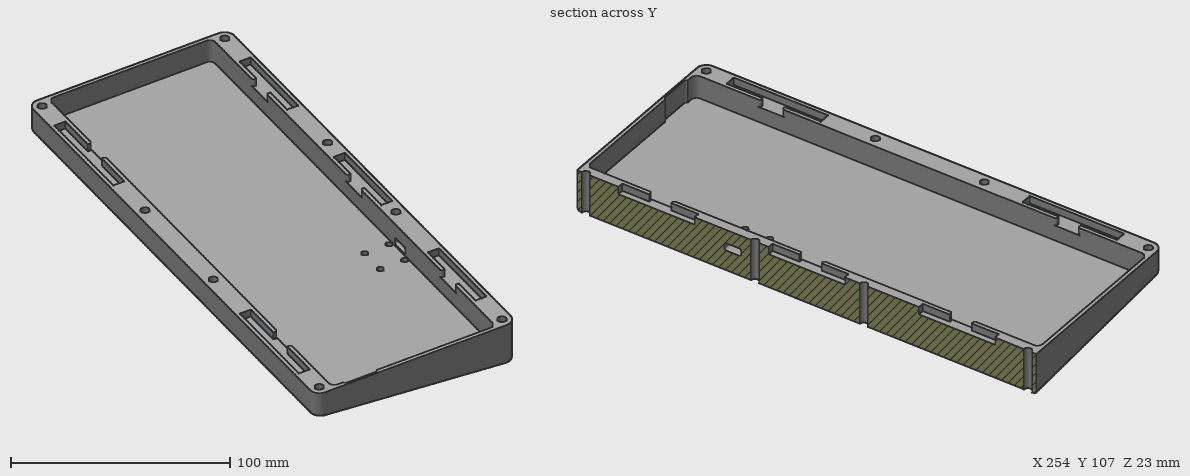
import cadquery as cq
import math

length = 254.0
width = 107.0
back_depth = 23.0
slope = math.radians(5)
corner_radius = 5.0
bottom_fillet = 2.0

side_wall = 2.0
rail_width = 10.0
cavity_depth = 12.5
cavity_radius = corner_radius - side_wall

relief_depth = 1.0
relief_length = 18.3
relief_radius = 1.5
relief_y = -28.7

screw_diameter = 4.3
screw_inset = 4.8
inner_screw_xs = (-31.5, 28.7)

pocket_depth = 4.0
pocket_wall = 2.0
neck_rounding = 1.0
neck_width = 12.2
back_pocket_length = 42.0
back_pocket_xs = (-83.0, 0, 83.0)
front_pocket_length = 52.0
front_pocket_xs = (-80.8, 82.8)

mount_diameter = 3.3
mount_depth = 4.0
drill_angle = math.radians(118)
mount_pitch_x = 13.7
mount_pitch_y = 13.0
mount_center = (41.0, 35.3)
port_width = 9.1
port_height = 3.8
port_radius = 1.0
port_center_z = -9.7

cavity_length = length - 2 * side_wall
cavity_width = width - 2 * rail_width
cavity_edge_x = cavity_length / 2
cavity_edge_y = cavity_width / 2


def rounded_block(block_length, block_width, height, radius):
    """Block hanging below the rim plane with rounded vertical edges."""
    block = cq.Workplane("XY").rect(block_length, block_width).extrude(-height)
    return block.edges("|Z").fillet(radius)


def make_body():
    lift = bottom_fillet * (math.tan(slope) + 1 / math.cos(slope) - 1)
    back_z = -(back_depth + lift)
    front_z = back_z + width * math.tan(slope)
    half = width / 2
    side = [(-half, 0), (half, 0), (half, back_z), (-half, front_z)]
    wedge = cq.Workplane("YZ").polyline(side).close().extrude(length / 2, both=True)
    body = wedge.edges("|Z").fillet(corner_radius)
    return body.faces("<Z").edges().fillet(bottom_fillet)


def make_relief():
    block_length = relief_depth + 2 * relief_radius
    block = rounded_block(block_length, relief_length, cavity_depth, relief_radius)
    return block.translate((cavity_edge_x + relief_depth - block_length / 2, relief_y, 0))


def make_pocket(pocket_length):
    """Pocket for the back rail, centred on x = 0, with its neck flaring into the cavity."""
    slot_end = pocket_length / 2
    neck_side = neck_width / 2
    flare_side = neck_side + neck_rounding
    flare_y = cavity_edge_y + neck_rounding
    inner_y = cavity_edge_y + pocket_wall
    outer_y = width / 2 - pocket_wall
    arc_shift = neck_rounding * (1 - math.sqrt(0.5))
    outline = (
        cq.Workplane("XY")
        .moveTo(-slot_end, outer_y)
        .lineTo(slot_end, outer_y)
        .lineTo(slot_end, inner_y)
        .lineTo(neck_side, inner_y)
        .lineTo(neck_side, flare_y)
        .threePointArc((neck_side + arc_shift, cavity_edge_y + arc_shift), (flare_side, cavity_edge_y))
        .lineTo(-flare_side, cavity_edge_y)
        .threePointArc((-neck_side - arc_shift, cavity_edge_y + arc_shift), (-neck_side, flare_y))
        .lineTo(-neck_side, inner_y)
        .lineTo(-slot_end, inner_y)
        .close()
    )
    return outline.extrude(-pocket_depth)


def make_mount_holes():
    radius = mount_diameter / 2
    tip = radius / math.tan(drill_angle / 2)
    profile = [(0, 0), (radius, 0), (radius, -mount_depth), (0, -mount_depth - tip)]
    drill = cq.Workplane("XZ").polyline(profile).close().revolve(360, (0, 0), (0, 1))
    holes = cq.Workplane("XY")
    for side_x in (-1, 1):
        for side_y in (-1, 1):
            x = mount_center[0] + side_x * mount_pitch_x / 2
            y = mount_center[1] + side_y * mount_pitch_y / 2
            holes = holes.add(drill.translate((x, y, -cavity_depth)))
    return holes.combine()


def make_port():
    port = cq.Workplane("XZ").rect(port_width, port_height).extrude(-2 * rail_width)
    port = port.edges("|Y").fillet(port_radius)
    return port.translate((mount_center[0], cavity_edge_y - mount_diameter, port_center_z))


def make_screw_holes():
    corner_x = length / 2 - screw_inset
    screw_y = width / 2 - screw_inset
    points = [(x, y) for x in (-corner_x, *inner_screw_xs, corner_x) for y in (-screw_y, screw_y)]
    return cq.Workplane("XY").pushPoints(points).circle(screw_diameter / 2).extrude(-2 * back_depth)


result = make_body()
result = result.cut(rounded_block(cavity_length, cavity_width, cavity_depth, cavity_radius))
result = result.cut(make_relief())
for pocket_x in back_pocket_xs:
    result = result.cut(make_pocket(back_pocket_length).translate((pocket_x, 0, 0)))
for pocket_x in front_pocket_xs:
    result = result.cut(make_pocket(front_pocket_length).mirror("XZ").translate((pocket_x, 0, 0)))
result = result.cut(make_mount_holes())
result = result.cut(make_port())
result = result.cut(make_screw_holes())